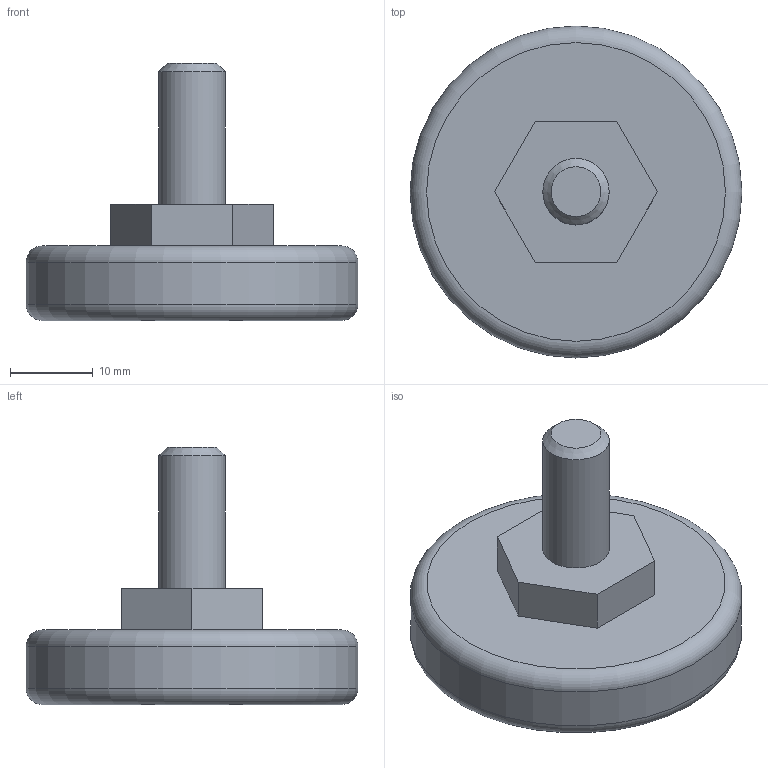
import cadquery as cq

pad_diameter = 40.0
pad_height = 9.0
pad_edge_radius = 2.0

hex_sides = 6
hex_across_flats = 17.0
hex_height = 5.0
hex_turn = 180 / hex_sides

stud_diameter = 8.0
stud_length = 17.0
stud_chamfer = 1.0


def make_pad():
    """Round pad standing on Z = 0 with both rims rounded."""
    pad = cq.Workplane("XY").circle(pad_diameter / 2).extrude(pad_height)
    return pad.faces("<Z or >Z").edges().fillet(pad_edge_radius)


def make_hex():
    """Hexagonal prism sitting on top of the pad."""
    return (
        cq.Workplane("XY", origin=(0, 0, pad_height))
        .polygon(hex_sides, hex_across_flats, circumscribed=True)
        .extrude(hex_height)
        .rotate((0, 0, 0), (0, 0, 1), hex_turn)
    )


def make_stud():
    """Stud rising from the hexagon, with a chamfered tip."""
    stud = (
        cq.Workplane("XY", origin=(0, 0, pad_height + hex_height))
        .circle(stud_diameter / 2)
        .extrude(stud_length)
    )
    return stud.faces(">Z").edges().chamfer(stud_chamfer)


result = make_pad().union(make_hex()).union(make_stud())